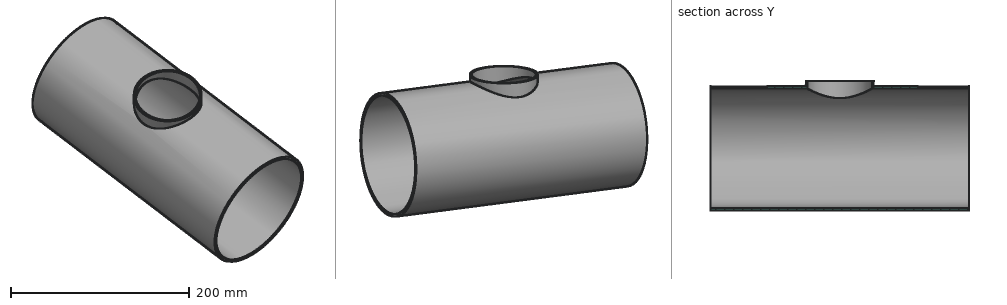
import cadquery as cq

run_length = 290.0
run_outer_diameter = 139.8
run_wall = 3.0
branch_outer_diameter = 76.3
branch_wall = 2.0
overall_height = 145.5

run_inner_diameter = run_outer_diameter - 2 * run_wall
branch_inner_diameter = branch_outer_diameter - 2 * branch_wall
branch_height = overall_height - run_outer_diameter / 2


def run_cylinder(diameter):
    """Cylinder along X, centred on the origin, as long as the run pipe."""
    return cq.Workplane("YZ").circle(diameter / 2).extrude(run_length / 2, both=True)


def branch_cylinder(diameter):
    """Cylinder along Z, from the run axis up to the branch rim."""
    return cq.Workplane("XY").circle(diameter / 2).extrude(branch_height)


outside = run_cylinder(run_outer_diameter).union(branch_cylinder(branch_outer_diameter))
run_bore = run_cylinder(run_inner_diameter)
branch_bore = branch_cylinder(branch_inner_diameter)

result = outside.cut(run_bore).cut(branch_bore)